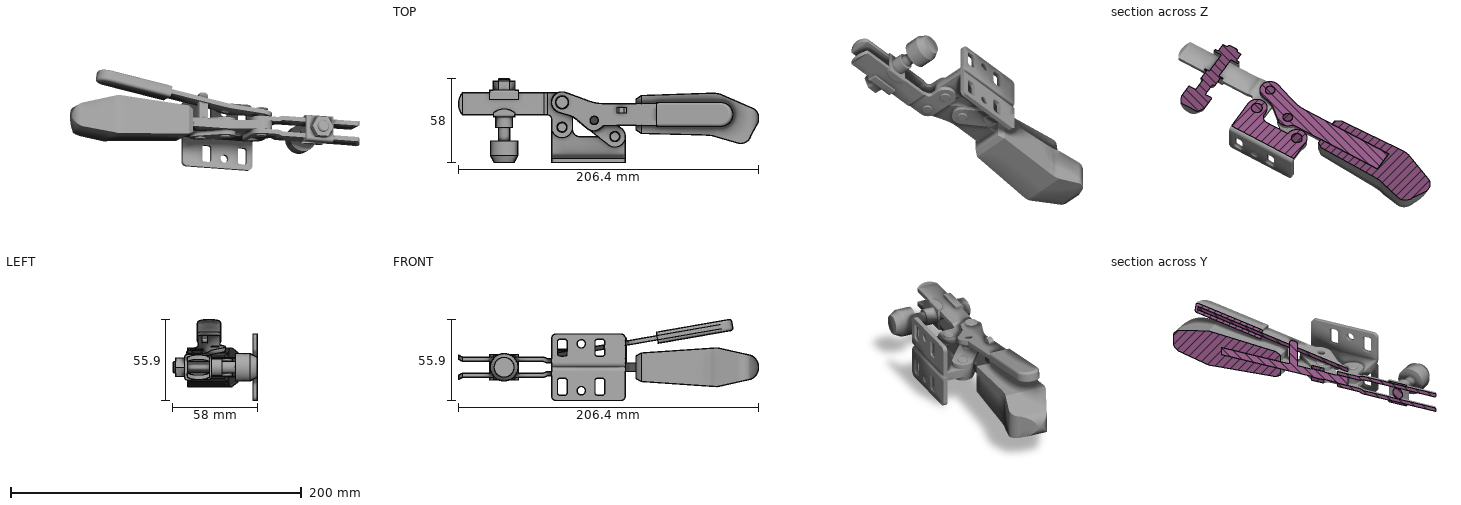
import cadquery as cq
import math


web_thickness = 6.0
sheet = web_thickness / 2
boss_radius = 7.2
rivet_radius = 3.5
rivet_rise = 0.8
rivet_end = web_thickness + rivet_rise
rivet_chamfer = 0.5
far = 123.8

arm_pivot = (0.0, 24.3)
lever_pivot = (0.0, 41.5)
link_joint = (22.0, 29.0)
link_pivot = (36.3, 18.0)

base_left = -boss_radius
base_right = link_pivot[0] + boss_radius
base_half_height = 23.0
base_corner_radius = 3.0
web_pocket_radius = 5.0
slot_width = 6.6
slot_length = 11.5
slot_corner_radius = 1.7
slot_first_x = 0.2
slot_pitch = 25.8
slot_z = 13.5
mount_hole_diameter = 5.5
mount_hole_x = 13.2
mount_hole_z = 16.0

arm_bottom = 32.8
arm_top = 48.0
arm_tip_x = -71.2
arm_tip_bend_x = -68.5
arm_tip_flare = 1.5
arm_jog_start = -12.5
arm_jog_end = -10.1
arm_gap = 8.0
arm_root_radius = 2.9
arm_heel_radius = arm_top - lever_pivot[1]
lever_rivet_head_radius = 4.5
lever_rivet_head_bottom = 11.3
lever_rivet_head_top = 12.5

lever_bottom = 25.5
lever_top = 40.7
lever_taper = 20.0
lever_belly_slope = 40.0
lever_chin_slope = 16.0
lever_shoulder_end = 28.0
lever_bend_reach = 3.0
tang_end = 97.0
post_start = 37.8
post_length = 6.5
post_width = 3.7
post_center_y = 36.1
post_top = 21.5
post_chamfer = 1.5
latch_hole_radius = 2.7

latch_tilt = 9.9
latch_height = 8.9
sleeve_start = 66.5
sleeve_end = 118.9
sleeve_bottom = 25.0
sleeve_top = 41.3
sleeve_thickness = 7.8
sleeve_rounding = 1.9
blade_end_gap = 1.9
blade_end_radius = 7.2

grip_start = 50.8
grip_chamfer_end = 54.7
grip_end = 135.2
grip_wide_x = 106.7
grip_nose_x = 129.8
grip_start_half_width = 7.8
grip_neck_half_width = 10.0
grip_wide_half_width = 13.5
grip_nose_half_width = 8.3
grip_start_low = 22.5
grip_start_high = 43.7
grip_neck_low = 20.0
grip_neck_high = 46.2
grip_nose_low = 18.5
grip_nose_high = 38.0
grip_crown_start = (103.2, 47.9)
grip_crown_middle = (106.0, 47.7)
grip_crown_end = (109.0, 47.0)
grip_nose_middle = (134.1, 34.7)
grip_nose_end = (134.5, 27.2)
grip_heel_middle = (126.3, 14.0)
grip_heel_start = (121.0, 13.5)
grip_waist_end = (103.0, 18.5)
grip_waist_start = (97.8, 19.0)

spindle_x = -39.8
spindle_radius = arm_gap / 2
spindle_top = 58.0
spindle_tip_chamfer = 0.8
pad_radius = 9.5
pad_face_radius = 6.8
pad_bevel_height = 5.0
pad_top = 15.0
collar_radius = 5.8
collar_bottom = 24.1
nut_corner_diameter = 15.0
nut_height = 6.2
upper_washer_length = 19.8
upper_washer_sheet = 1.9
upper_washer_lip = 4.5
lower_washer_length = 14.9
lower_washer_sheet = 1.2
lower_washer_lip = 4.1
lower_washer_shoulder = 1.2


def on_boss(center, degrees):
    """Point on the boss circle around a joint."""
    angle = math.radians(degrees)
    return (center[0] + boss_radius * math.cos(angle), center[1] + boss_radius * math.sin(angle))


def plate(outline, z_from, z_to):
    """Flat plate from an XY outline between two Z levels."""
    return outline.extrude(z_to - z_from).translate((0, 0, z_from))


def pin(joint, radius, z_from, z_to):
    """Plain cylinder along Z at a joint."""
    return plate(cq.Workplane("XY").center(*joint).circle(radius), z_from, z_to)


def rivet(joint, radius, z_from, z_to):
    """Pin along Z with both end edges chamfered."""
    return pin(joint, radius, z_from, z_to).faces("<Z or >Z").chamfer(rivet_chamfer)


def web_outline():
    pocket_left = boss_radius
    pocket_floor = link_pivot[1]
    return (
        cq.Workplane("XY")
        .moveTo(base_left, 0)
        .lineTo(base_right, 0)
        .lineTo(*on_boss(link_pivot, 0))
        .threePointArc(on_boss(link_pivot, 90), on_boss(link_pivot, 180))
        .lineTo(pocket_left + web_pocket_radius, pocket_floor)
        .radiusArc((pocket_left, pocket_floor + web_pocket_radius), web_pocket_radius)
        .lineTo(*on_boss(arm_pivot, 0))
        .threePointArc(on_boss(arm_pivot, 90), on_boss(arm_pivot, 180))
        .close()
    )


def make_base():
    center_x = (base_left + base_right) / 2
    flange = (
        cq.Workplane("XY")
        .box(base_right - base_left, sheet, 2 * base_half_height)
        .edges("|Y")
        .fillet(base_corner_radius)
        .translate((center_x, sheet / 2, 0))
    )
    web = plate(web_outline(), -sheet, sheet)
    bend_groove = (
        cq.Workplane("YZ")
        .moveTo(0, -sheet)
        .radiusArc((sheet, 0), sheet)
        .radiusArc((0, sheet), sheet)
        .close()
        .extrude(far, both=True)
    )
    base = flange.union(web).cut(bend_groove)
    slot_points = [(slot_first_x + i * slot_pitch, side * slot_z) for i in (0, 1) for side in (-1, 1)]
    for x, z in slot_points:
        slot = (
            cq.Workplane("XY")
            .box(slot_width, 3 * sheet, slot_length)
            .edges("|Y")
            .fillet(slot_corner_radius)
            .translate((x, sheet / 2, z))
        )
        base = base.cut(slot)
    for side in (-1, 1):
        hole = (
            cq.Workplane("XZ")
            .center(mount_hole_x, side * mount_hole_z)
            .circle(mount_hole_diameter / 2)
            .extrude(-2 * sheet)
        )
        base = base.cut(hole)
    for joint in (arm_pivot, link_pivot):
        base = base.cut(pin(joint, rivet_radius, -sheet, sheet))
    return base


def arm_outline():
    return (
        cq.Workplane("XY")
        .moveTo(arm_tip_bend_x, arm_bottom)
        .lineTo(base_left - arm_root_radius, arm_bottom)
        .radiusArc((base_left, arm_bottom - arm_root_radius), arm_root_radius)
        .lineTo(*on_boss(arm_pivot, 180))
        .threePointArc(on_boss(arm_pivot, 270), on_boss(arm_pivot, 0))
        .lineTo(boss_radius, lever_pivot[1])
        .radiusArc((boss_radius - arm_heel_radius, arm_top), -arm_heel_radius)
        .lineTo(arm_tip_bend_x, arm_top)
        .threePointArc((arm_tip_x, (arm_top + arm_bottom) / 2), (arm_tip_bend_x, arm_bottom))
        .close()
    )


def arm_bar():
    jog_angle = math.atan2(arm_gap / 2 - sheet, arm_jog_end - arm_jog_start)
    miter = sheet * math.tan(jog_angle / 2)
    inner_edge = [
        (boss_radius, sheet),
        (arm_jog_end - miter, sheet),
        (arm_jog_start - miter, arm_gap / 2),
        (arm_tip_bend_x, arm_gap / 2),
        (arm_tip_x, arm_gap / 2 + arm_tip_flare),
    ]
    outer_z = arm_gap / 2 + sheet
    outer_edge = [
        (arm_tip_x, outer_z + arm_tip_flare),
        (arm_tip_bend_x, outer_z),
        (arm_jog_start, outer_z),
        (arm_jog_end, web_thickness),
        (boss_radius, web_thickness),
    ]
    bent_strip = cq.Workplane("XZ").polyline(inner_edge + outer_edge).close().extrude(-far)
    return plate(arm_outline(), 0, far).intersect(bent_strip)


def make_clamp_arm():
    bar = arm_bar()
    arm = rivet(arm_pivot, rivet_radius, -rivet_end, rivet_end)
    lever_head = rivet(
        lever_pivot, lever_rivet_head_radius, lever_rivet_head_bottom, lever_rivet_head_top
    )
    arm = arm.union(rivet(lever_pivot, rivet_radius, -rivet_end, lever_rivet_head_top))
    arm = arm.union(lever_head)
    return arm.union(bar).union(bar.mirror("XY"))


def make_link():
    direction = math.degrees(
        math.atan2(link_joint[1] - link_pivot[1], link_joint[0] - link_pivot[0])
    )
    outline = (
        cq.Workplane("XY")
        .moveTo(*on_boss(link_pivot, direction + 90))
        .threePointArc(on_boss(link_pivot, direction + 180), on_boss(link_pivot, direction - 90))
        .lineTo(*on_boss(link_joint, direction - 90))
        .threePointArc(on_boss(link_joint, direction), on_boss(link_joint, direction + 90))
        .close()
    )
    side_plate = plate(outline, sheet, web_thickness)
    link = rivet(link_pivot, rivet_radius, -rivet_end, rivet_end)
    link = link.union(rivet(link_joint, rivet_radius, -rivet_end, rivet_end))
    return link.union(side_plate).union(side_plate.mirror("XY"))


def lever_outline(end_x):
    """Closed lever shape from the pivot boss to a square end."""
    taper = math.tan(math.radians(lever_taper))
    belly = math.tan(math.radians(lever_belly_slope))
    chin = math.tan(math.radians(lever_chin_slope))
    crown = on_boss(lever_pivot, 90 - lever_taper)
    shoulder_x = crown[0] + (crown[1] - lever_top) / taper
    shoulder_start = 2 * shoulder_x - lever_shoulder_end
    belly_right = on_boss(link_joint, lever_belly_slope - 90)
    belly_left = on_boss(link_joint, 270 - lever_belly_slope)
    chin_point = on_boss(lever_pivot, 270 - lever_chin_slope)
    bend_x = (belly_left[1] + belly * belly_left[0] - chin_point[1] - chin * chin_point[0]) / (belly - chin)
    bend_y = chin_point[1] - chin * (bend_x - chin_point[0])
    bend_start = (
        bend_x - lever_bend_reach * math.cos(math.radians(lever_chin_slope)),
        bend_y + lever_bend_reach * math.sin(math.radians(lever_chin_slope)),
    )
    bend_end = (
        bend_x + lever_bend_reach * math.cos(math.radians(lever_belly_slope)),
        bend_y - lever_bend_reach * math.sin(math.radians(lever_belly_slope)),
    )
    return (
        cq.Workplane("XY")
        .moveTo(*crown)
        .lineTo(shoulder_start, crown[1] - taper * (shoulder_start - crown[0]))
        .tangentArcPoint((lever_shoulder_end, lever_top), relative=False)
        .lineTo(end_x, lever_top)
        .lineTo(end_x, lever_bottom)
        .lineTo(belly_right[0] + (lever_bottom - belly_right[1]) / belly, lever_bottom)
        .lineTo(*belly_right)
        .threePointArc(on_boss(link_joint, 270), belly_left)
        .lineTo(*bend_end)
        .tangentArcPoint(bend_start, relative=False)
        .lineTo(*chin_point)
        .threePointArc(on_boss(lever_pivot, 180), crown)
        .close()
    )


def make_handle():
    """Handle plate with the post that the latch slips over."""
    post = (
        cq.Workplane("XY")
        .box(post_length, post_width, post_top, centered=(False, True, False))
        .edges("|Y and >Z")
        .chamfer(post_chamfer)
        .translate((post_start, post_center_y, 0))
    )
    handle = plate(lever_outline(tang_end), -sheet, sheet).union(post)
    handle = handle.cut(pin(lever_pivot, rivet_radius, -sheet, sheet))
    return handle.cut(pin(link_joint, rivet_radius, -sheet, sheet))


def make_grip(handle):
    side_profile = (
        cq.Workplane("XY")
        .moveTo(grip_start, grip_start_low)
        .lineTo(grip_start, grip_start_high)
        .lineTo(grip_chamfer_end, grip_neck_high)
        .lineTo(*grip_crown_start)
        .threePointArc(grip_crown_middle, grip_crown_end)
        .lineTo(grip_nose_x, grip_nose_high)
        .threePointArc(grip_nose_middle, grip_nose_end)
        .lineTo(grip_nose_x, grip_nose_low)
        .threePointArc(grip_heel_middle, grip_heel_start)
        .lineTo(*grip_waist_end)
        .lineTo(*grip_waist_start)
        .lineTo(grip_chamfer_end, grip_neck_low)
        .close()
    )
    half = [
        (grip_start, grip_start_half_width),
        (grip_chamfer_end, grip_neck_half_width),
        (grip_wide_x, grip_wide_half_width),
        (grip_nose_x, grip_nose_half_width),
    ]
    plan_profile = (
        cq.Workplane("XZ")
        .polyline(half)
        .threePointArc((grip_end, 0), (grip_nose_x, -grip_nose_half_width))
        .polyline([(x, -z) for x, z in reversed(half)], includeCurrent=False)
        .close()
    )
    block = plate(side_profile, -far, far)
    return block.intersect(plan_profile.extrude(-far)).cut(handle)


def tilt(body):
    return body.rotate((0, 0, 0), (0, 1, 0), -latch_tilt).translate((0, 0, latch_height))


def make_latch(handle):
    blade = plate(lever_outline(sleeve_end - blade_end_gap), -sheet / 2, sheet / 2)
    blade = blade.edges("|Z and >X").fillet(blade_end_radius)
    latch = tilt(blade).cut(handle)
    for joint, radius in ((lever_pivot, rivet_radius), (link_joint, latch_hole_radius)):
        latch = latch.cut(pin(joint, radius, 0, far))
    return latch


def make_sleeve(latch):
    nose_radius = (sleeve_top - sleeve_bottom) / 2
    nose_x = sleeve_end - nose_radius
    outline = (
        cq.Workplane("XY")
        .moveTo(sleeve_start, sleeve_bottom)
        .lineTo(nose_x, sleeve_bottom)
        .threePointArc((sleeve_end, sleeve_bottom + nose_radius), (nose_x, sleeve_top))
        .lineTo(sleeve_start, sleeve_top)
        .close()
    )
    sleeve = plate(outline, -sleeve_thickness / 2, sleeve_thickness / 2)
    sleeve = sleeve.faces("<Z or >Z").edges("not <X").fillet(sleeve_rounding)
    return tilt(sleeve).cut(latch)


def channel_washer(length, thickness, seat_y, lip):
    """U-shaped washer that straddles both bars; a negative lip points down."""
    half_width = arm_gap / 2 + sheet + thickness
    direction = math.copysign(1, lip)
    back = (
        cq.Workplane("XY")
        .box(length, thickness + abs(lip), 2 * half_width)
        .edges("|X")
        .edges(">Y" if lip < 0 else "<Y")
        .fillet(thickness)
        .translate((0, seat_y + (lip - direction * thickness) / 2, 0))
    )
    opening = (
        cq.Workplane("XY")
        .box(far, abs(lip), 2 * (half_width - thickness))
        .translate((0, seat_y + lip / 2, 0))
    )
    return back.cut(opening).translate((spindle_x, 0, 0))


def make_spindle():
    profile = (
        cq.Workplane("XY")
        .polyline([
            (0, 0),
            (pad_face_radius, 0),
            (pad_radius, pad_bevel_height),
            (pad_radius, pad_top),
            (spindle_radius, pad_top),
            (spindle_radius, collar_bottom),
            (collar_radius, collar_bottom),
            (collar_radius, arm_bottom),
            (spindle_radius, arm_bottom),
            (spindle_radius, spindle_top - spindle_tip_chamfer),
            (spindle_radius - spindle_tip_chamfer, spindle_top),
            (0, spindle_top),
        ])
        .close()
    )
    turned = profile.revolve(360, (0, 0), (0, 1)).translate((spindle_x, 0, 0))
    nut_seat = arm_top + upper_washer_sheet
    nut = (
        cq.Workplane("XZ")
        .polygon(6, nut_corner_diameter)
        .extrude(-nut_height)
        .translate((spindle_x, nut_seat, 0))
    )
    upper = channel_washer(upper_washer_length, upper_washer_sheet, arm_top, -upper_washer_lip)
    lower = channel_washer(lower_washer_length, lower_washer_sheet, arm_bottom, lower_washer_lip)
    lip_shape = (
        cq.Workplane("XY")
        .moveTo(spindle_x - lower_washer_length / 2, arm_bottom - lower_washer_sheet)
        .lineTo(spindle_x + lower_washer_length / 2, arm_bottom - lower_washer_sheet)
        .lineTo(spindle_x + lower_washer_length / 2, arm_bottom + lower_washer_shoulder)
        .threePointArc(
            (spindle_x, arm_bottom + lower_washer_lip),
            (spindle_x - lower_washer_length / 2, arm_bottom + lower_washer_shoulder),
        )
        .close()
    )
    lower = lower.intersect(plate(lip_shape, -far, far))
    return turned.union(nut).union(upper).union(lower)


base = make_base()
clamp_arm = make_clamp_arm()
link = make_link()
handle = make_handle()
grip = make_grip(handle)
latch = make_latch(handle)
sleeve = make_sleeve(latch)
spindle = make_spindle()

result = cq.Compound.makeCompound([
    base.val(),
    clamp_arm.val(),
    link.val(),
    handle.val(),
    grip.val(),
    latch.val(),
    sleeve.val(),
    spindle.val(),
])